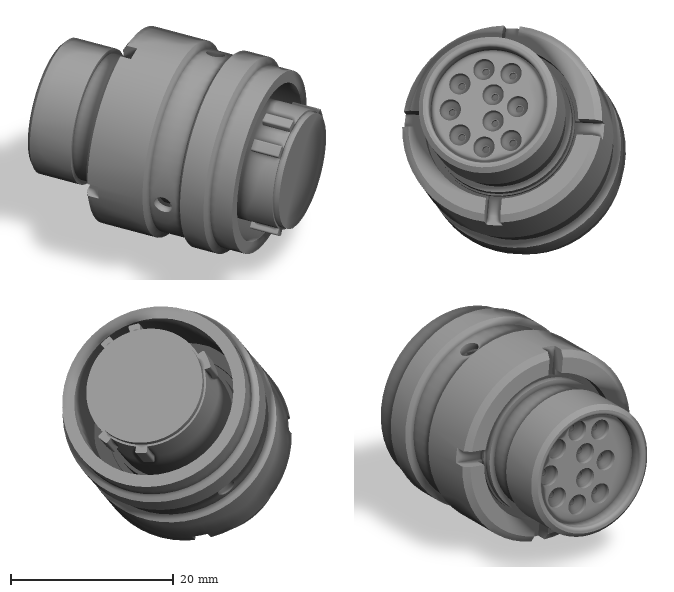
import cadquery as cq
import math


length = 33.37
fit_gap = 0.07

tube_radius = 8.68
tube_end = 6.0
neck_radius = 8.08
flange_start = 9.4
flange_radius = 8.8
flange_end = 17.3
collar_end = 19.85
nose_radius = 7.65
nose_end = 32.6
tube_bevel_length = 0.55
tube_bevel_depth = 0.6
bore_radius = 7.37
mouth_fillet = 0.4
mouth_depth = 2.0
ledge_length = 2.67

groove_start = 10.25
groove_end = 10.9
groove_depth = 0.47
snap_ring_start = 10.4
snap_ring_end = 10.78
snap_ring_radius = 9.0
snap_ring_half_gap = 25.0

ring_start = 9.38
ring_end = 28.93
ring_radius = 12.55
waist_radius = 11.68
front_grip_end = 17.82
rear_grip_start = 21.8
rear_grip_end = 26.0
grip_bevel_length = 0.55
grip_bevel_depth = 0.87
counterbore_radius = 9.65
track_radius = 10.68
track_end = 20.02
socket_radius = 10.15
ring_turn = 5.6
slot_count = 4
slot_width = 2.0
slot_depth = 1.95
window_count = 3
window_x = 19.65
window_radius = 1.2
notch_tip_x = 20.75
notch_side = 1.35
notch_overlap = 0.35

key_radius = 8.48
key_round = 0.2
key_root_depth = 0.1
keys = [(21.6, 16.7), (100.7, 10.0), (128.3, 10.4), (228.5, 10.4), (265.5, 10.4)]

grommet_radius = 6.6
hole_mouth_radius = 1.35
hole_lip_depth = 0.6
hole_round = 0.3
hole_cone_angle = 55.0
hole_throat_radius = 0.55
hole_pin_radius = 0.45
hole_pin_depth = 0.35
hole_circle_radius = 5.0
hole_pitch_angle = 40.5
hole_single_y = -3.45
hole_pair_y = -0.37
hole_pair_z = 1.67

grommet_end = mouth_depth + ledge_length
groove_radius = flange_radius - groove_depth


def revolve_about_x(profile):
    """Turn a closed list of (x, radius) points into a solid of revolution about X."""
    return cq.Workplane("XY").polyline(profile).close().revolve(360, (0, 0, 0), (1, 0, 0))


def tube(start, end, inner_radius, outer_radius):
    """Plain hollow cylinder about X."""
    return (
        cq.Workplane("YZ", origin=(start, 0, 0))
        .circle(outer_radius)
        .circle(inner_radius)
        .extrude(end - start)
    )


def turned(shape, angle):
    """Rotate a shape about the X axis."""
    return shape.rotate((0, 0, 0), (1, 0, 0), angle)


def make_key(centre_angle, width):
    """Key with radial flanks and rounded outer edges, reaching into the nose wall."""
    root_radius = nose_radius - key_root_depth
    half = math.radians(width / 2)

    def at(radius, angle):
        return (radius * math.cos(angle), radius * math.sin(angle))

    key = (
        cq.Workplane("YZ", origin=(ring_end, 0, 0))
        .moveTo(*at(root_radius, -half))
        .lineTo(*at(key_radius, -half))
        .threePointArc(at(key_radius, 0), at(key_radius, half))
        .lineTo(*at(root_radius, half))
        .threePointArc(at(root_radius, 0), at(root_radius, -half))
        .close()
        .extrude(nose_end - ring_end)
    )
    margin = 0.05
    outer_edges = cq.selectors.BoxSelector(
        (ring_end, key_radius * math.cos(half) - margin, -key_radius),
        (nose_end, key_radius + margin, key_radius),
    )
    key = key.edges("|X").edges(outer_edges).fillet(key_round)
    return turned(key, centre_angle)


def make_shell():
    """Stepped tube with a snap ring groove, an inner ledge round the grommet and nose keys."""
    shell = revolve_about_x([
        (0, bore_radius),
        (0, tube_radius - tube_bevel_depth),
        (tube_bevel_length, tube_radius),
        (tube_end, tube_radius),
        (tube_end, neck_radius),
        (flange_start, neck_radius),
        (flange_start, flange_radius),
        (groove_start, flange_radius),
        (groove_start, groove_radius),
        (groove_end, groove_radius),
        (groove_end, flange_radius),
        (flange_end, flange_radius),
        (flange_end, neck_radius),
        (collar_end, neck_radius),
        (collar_end, nose_radius),
        (nose_end, nose_radius),
        (nose_end, bore_radius),
        (grommet_end, bore_radius),
        (grommet_end, grommet_radius),
        (mouth_depth, grommet_radius),
        (mouth_depth, bore_radius),
    ])
    mouth_edge = cq.selectors.RadiusNthSelector(0)
    shell = shell.faces("<X").edges(mouth_edge).fillet(mouth_fillet)
    for centre_angle, width in keys:
        shell = shell.union(make_key(centre_angle, width))
    return shell


def make_snap_ring():
    """C-shaped ring, open at the top."""
    ring = tube(snap_ring_start, snap_ring_end, groove_radius, snap_ring_radius)
    reach = 2 * snap_ring_radius
    spread = reach * math.tan(math.radians(snap_ring_half_gap))
    gap = (
        cq.Workplane("YZ", origin=(snap_ring_start, 0, 0))
        .polyline([(0, 0), (spread, reach), (-spread, reach)])
        .close()
        .extrude(snap_ring_end - snap_ring_start)
    )
    return ring.cut(gap)


def make_wrench_slots():
    """Radial slots across the front face of the coupling ring, as one cutter."""
    slots = cq.Workplane("XY")
    for i in range(slot_count):
        slot = cq.Workplane("XY", origin=(ring_start, 0, 0)).box(
            slot_depth, slot_width, ring_radius, centered=(False, True, False)
        )
        slots = slots.add(turned(slot, i * 360 / slot_count))
    return slots.combine()


def make_windows():
    """Round windows down to the bayonet track, each over a pointed lug notch, as one cutter."""
    window_floor = math.sqrt(track_radius**2 - window_radius**2)
    notch_floor = socket_radius - notch_overlap
    notch_x = notch_tip_x - notch_side / math.sqrt(2)
    windows = cq.Workplane("XY")
    for i in range(window_count):
        window = (
            cq.Workplane("XZ", origin=(window_x, -window_floor, 0))
            .circle(window_radius)
            .extrude(ring_radius - window_floor)
        )
        notch = (
            cq.Workplane("XZ", origin=(notch_x, -notch_floor, 0))
            .transformed(rotate=(0, 0, 45))
            .rect(notch_side, notch_side)
            .extrude(window_floor - notch_floor)
        )
        windows = windows.add(turned(window.union(notch), i * 360 / window_count))
    return windows.combine()


def make_coupling_ring():
    """Grip ring with two raised bands, wrench slots, windows and an open socket at the rear."""
    ring_bore_radius = flange_radius + fit_gap
    bevelled_radius = ring_radius - grip_bevel_depth
    ring = revolve_about_x([
        (ring_start, counterbore_radius),
        (ring_start, bevelled_radius),
        (ring_start + grip_bevel_length, ring_radius),
        (front_grip_end - grip_bevel_length, ring_radius),
        (front_grip_end, waist_radius),
        (rear_grip_start, waist_radius),
        (rear_grip_start + grip_bevel_length, ring_radius),
        (rear_grip_end - grip_bevel_length, ring_radius),
        (rear_grip_end, waist_radius),
        (ring_end, waist_radius),
        (ring_end, socket_radius),
        (track_end, socket_radius),
        (track_end, track_radius),
        (flange_end, track_radius),
        (flange_end, ring_bore_radius),
        (snap_ring_end, ring_bore_radius),
        (snap_ring_end, counterbore_radius),
    ])
    ring = ring.cut(make_wrench_slots())
    ring = ring.cut(make_windows())
    return turned(ring, ring_turn)


def contact_positions():
    """(y, z) of every contact hole: seven on a circle, one single and one pair inside."""
    points = [(hole_single_y, 0), (hole_pair_y, hole_pair_z), (hole_pair_y, -hole_pair_z)]
    for i in range(-3, 4):
        angle = math.radians(i * hole_pitch_angle)
        points.append((hole_circle_radius * math.cos(angle), hole_circle_radius * math.sin(angle)))
    return points


def make_contact_hole():
    """Cutter for one contact hole: straight lip, rounded shoulder, cone and a pin bore."""
    slope = math.radians(hole_cone_angle)
    lip_end = mouth_depth + hole_lip_depth
    round_centre_radius = hole_mouth_radius - hole_round

    def on_round(angle):
        return (
            lip_end + hole_round * math.sin(angle),
            round_centre_radius + hole_round * math.cos(angle),
        )

    cone_start, cone_radius = on_round(slope)
    cone_end = cone_start + (cone_radius - hole_throat_radius) / math.tan(slope)
    return (
        cq.Workplane("XY")
        .moveTo(mouth_depth, 0)
        .lineTo(mouth_depth, hole_mouth_radius)
        .lineTo(lip_end, hole_mouth_radius)
        .threePointArc(on_round(slope / 2), (cone_start, cone_radius))
        .lineTo(cone_end, hole_throat_radius)
        .lineTo(cone_end, hole_pin_radius)
        .lineTo(cone_end + hole_pin_depth, hole_pin_radius)
        .lineTo(cone_end + hole_pin_depth, 0)
        .close()
        .revolve(360, (0, 0, 0), (1, 0, 0))
    )


def make_grommet():
    """Disc flush with the shell ledge, holding the contact holes."""
    grommet = (
        cq.Workplane("YZ", origin=(mouth_depth, 0, 0))
        .circle(grommet_radius)
        .extrude(grommet_end - mouth_depth)
    )
    hole = make_contact_hole()
    for y, z in contact_positions():
        grommet = grommet.cut(hole.translate((0, y, z)))
    return grommet


def make_insert():
    """Solid plug filling the shell behind the grommet and standing out past the nose."""
    insert_length = length - grommet_end
    return cq.Workplane("YZ", origin=(grommet_end, 0, 0)).circle(bore_radius).extrude(insert_length)


shell = make_shell()
snap_ring = make_snap_ring()
coupling_ring = make_coupling_ring()
grommet = make_grommet()
insert = make_insert()

result = cq.Compound.makeCompound([
    shell.val(),
    snap_ring.val(),
    coupling_ring.val(),
    grommet.val(),
    insert.val(),
])